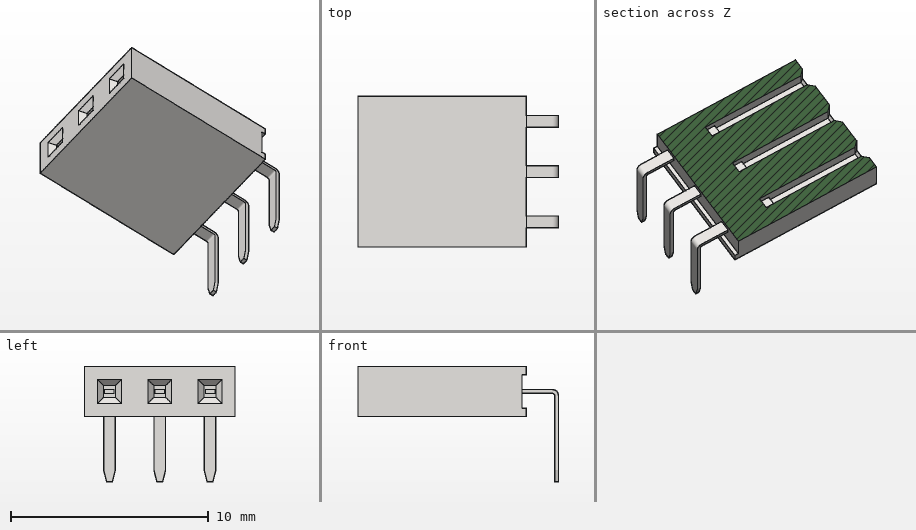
import cadquery as cq


pin_count = 3
pitch = 2.54
contact_positions = [(i - (pin_count - 1) / 2) * pitch for i in range(pin_count)]

housing_length = 8.5
housing_width = pin_count * pitch
housing_height = pitch
contact_height = housing_height / 2
lip_height = 0.43
recess_depth = 0.21
recess_height = housing_height - 2 * lip_height
back_face = housing_length - recess_depth

mouth_size = 1.2
socket_size = 0.6
lead_in_depth = (mouth_size - socket_size) / 2
socket_depth = 6.0

overall_length = 10.13
overall_height = 5.84
pin_thickness = 0.2
pin_width = 0.6
pin_embedment = 0.5
tip_width = 0.3
tip_length = 0.6
inner_bend_radius = 0.1
outer_bend_radius = inner_bend_radius + pin_thickness
pin_bottom = housing_height - overall_height

blade_width = 0.48
blade_length = 0.5


def box_from_x(x_start, length, width, height, y, z):
    """Box starting at x_start, centred on y and z."""
    start = cq.Workplane("XY", origin=(x_start, y, z))
    return start.box(length, width, height, centered=(False, True, True))


def make_housing():
    """Block with a recess across its back, leaving a lip above and below."""
    block = box_from_x(0, housing_length, housing_width, housing_height, 0, contact_height)
    recess = box_from_x(back_face, recess_depth, housing_width, recess_height, 0, contact_height)
    return block.cut(recess)


def make_socket(y):
    """Blind square socket with a pyramidal lead-in at its mouth."""
    lead_in = (
        cq.Workplane("YZ", origin=(0, y, contact_height))
        .rect(mouth_size, mouth_size)
        .workplane(offset=lead_in_depth)
        .rect(socket_size, socket_size)
        .loft(ruled=True)
    )
    bore = box_from_x(0, socket_depth, socket_size, socket_size, y, contact_height)
    return lead_in.union(bore)


def make_blade(y):
    """Contact end projecting from the socket floor towards the mouth."""
    blade_start = socket_depth - blade_length
    return box_from_x(blade_start, blade_length, blade_width, pin_thickness, y, contact_height)


def make_pin(y):
    """Flat pin bent down through 90 degrees, its end tapered in width."""
    start = back_face - pin_embedment
    top = contact_height + pin_thickness / 2
    underside = top - pin_thickness
    inner_face = overall_length - pin_thickness
    bent_strip = (
        cq.Workplane("XZ", origin=(0, y, 0))
        .moveTo(start, top)
        .lineTo(overall_length - outer_bend_radius, top)
        .radiusArc((overall_length, top - outer_bend_radius), outer_bend_radius)
        .lineTo(overall_length, pin_bottom)
        .lineTo(inner_face, pin_bottom)
        .lineTo(inner_face, underside - inner_bend_radius)
        .radiusArc((inner_face - inner_bend_radius, underside), -inner_bend_radius)
        .lineTo(start, underside)
        .close()
        .extrude(pin_width / 2, both=True)
    )
    tapered_outline = (
        cq.Workplane("YZ", origin=(start, y, 0))
        .moveTo(-pin_width / 2, top)
        .lineTo(pin_width / 2, top)
        .lineTo(pin_width / 2, pin_bottom + tip_length)
        .lineTo(tip_width / 2, pin_bottom)
        .lineTo(-tip_width / 2, pin_bottom)
        .lineTo(-pin_width / 2, pin_bottom + tip_length)
        .close()
        .extrude(overall_length - start)
    )
    return bent_strip.intersect(tapered_outline)


result = make_housing()
for contact_y in contact_positions:
    result = result.cut(make_socket(contact_y))
    result = result.union(make_blade(contact_y))
    result = result.union(make_pin(contact_y))